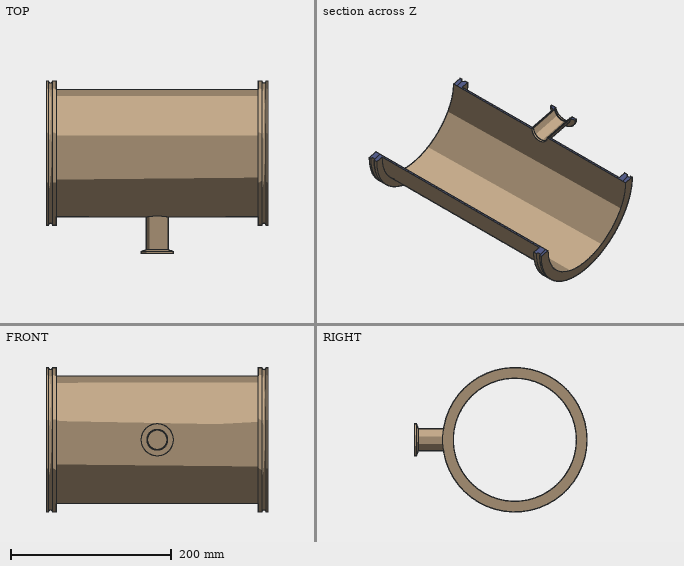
import cadquery as cq

length = 276.0
flange_diameter = 180.0
tube_diameter = 159.0
bore_diameter = 153.0
flange_width = 12.5

groove_start = 2.8
groove_end = 7.7
groove_depth = (groove_end - groove_start) / 2

nozzle_reach = 125.0
nozzle_diameter = 28.0
nozzle_bore_diameter = 24.0
nozzle_flange_diameter = 40.0
nozzle_rim_thickness = 2.8
nozzle_flange_thickness = 5.0
counterbore_diameter = 26.0
counterbore_depth = 3.0

flange_radius = flange_diameter / 2


def x_cylinder(diameter):
    """Solid cylinder along X over the full length of the tube."""
    return cq.Workplane("YZ").circle(diameter / 2).extrude(length / 2, both=True)


def y_cylinder(diameter, start, end):
    """Solid cylinder along -Y between two distances from the tube axis."""
    return cq.Workplane("XZ").workplane(offset=start).circle(diameter / 2).extrude(end - start)


def cut_groove(body, side):
    """Cut the round-bottomed rim groove at the -X end (side = -1) or +X end (side = 1)."""
    start = side * (length / 2 - groove_start)
    middle = side * (length / 2 - (groove_start + groove_end) / 2)
    end = side * (length / 2 - groove_end)
    groove = (
        cq.Workplane("XY")
        .moveTo(start, flange_radius)
        .threePointArc((middle, flange_radius - groove_depth), (end, flange_radius))
        .close()
        .revolve(360, (0, 0, 0), (1, 0, 0))
    )
    return body.cut(groove)


def make_chamber():
    """Tube with a grooved flange at each end and the port under the nozzle."""
    flange_inner_x = length / 2 - flange_width
    profile = [
        (-length / 2, bore_diameter / 2),
        (-length / 2, flange_radius),
        (-flange_inner_x, flange_radius),
        (-flange_inner_x, tube_diameter / 2),
        (flange_inner_x, tube_diameter / 2),
        (flange_inner_x, flange_radius),
        (length / 2, flange_radius),
        (length / 2, bore_diameter / 2),
    ]
    body = cq.Workplane("XY").polyline(profile).close().revolve(360, (0, 0, 0), (1, 0, 0))
    for side in (-1, 1):
        body = cut_groove(body, side)
    return body.cut(y_cylinder(nozzle_bore_diameter, 0, nozzle_reach))


def make_nozzle():
    """Nozzle with a cone-backed flange, saddled onto the outside of the tube."""
    nozzle_radius = nozzle_diameter / 2
    rim_radius = nozzle_flange_diameter / 2
    profile = [
        (0, 0),
        (nozzle_radius, 0),
        (nozzle_radius, nozzle_flange_thickness - nozzle_reach),
        (rim_radius, nozzle_rim_thickness - nozzle_reach),
        (rim_radius, -nozzle_reach),
        (0, -nozzle_reach),
    ]
    nozzle = cq.Workplane("XY").polyline(profile).close().revolve(360, (0, 0, 0), (0, 1, 0))
    nozzle = nozzle.cut(x_cylinder(tube_diameter))
    nozzle = nozzle.cut(y_cylinder(nozzle_bore_diameter, 0, nozzle_reach))
    return nozzle.cut(y_cylinder(counterbore_diameter, nozzle_reach - counterbore_depth, nozzle_reach))


chamber = make_chamber()
nozzle = make_nozzle()
result = cq.Compound.makeCompound([chamber.val(), nozzle.val()])